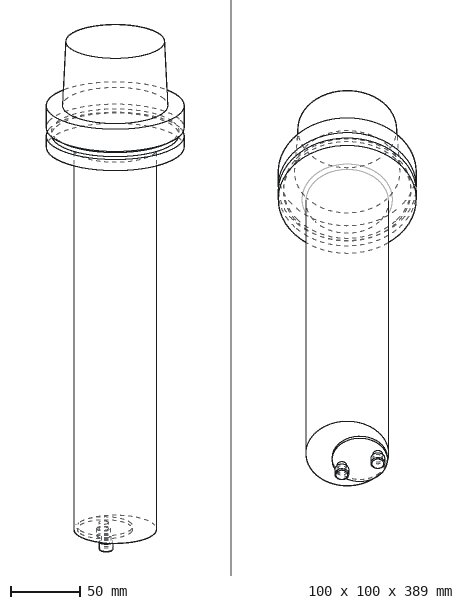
import cadquery as cq
import math

total_height = 389.0

shank_length = 49.5
shank_top_diameter = 71.5
shank_base_diameter = 76.2

flange_diameter = 100.0
flange_thickness = 32.0
groove_diameter = 92.0
upper_rim_thickness = 17.0
lower_rim_thickness = 8.5
groove_upper_wall_height = 2.5
groove_floor_width = 3.0

body_diameter = 60.0
neck_fillet = 2.7

disc_diameter = 40.0
disc_thickness = 2.5
pin_stem_diameter = 7.0
pin_stem_length = 4.5
pin_head_diameter = 10.0
pin_head_height = 6.2
pin_head_chamfer = 0.8
pin_circle_diameter = 28.0
first_pin_angle = 135

flange_top = total_height - shank_length
flange_bottom = flange_top - flange_thickness
disc_bottom = pin_head_height + pin_stem_length
body_bottom = disc_bottom + disc_thickness

disc_center_x = -(body_diameter - disc_diameter) / 2


def make_turned_body():
    """Shank, grooved flange and body, revolved about Z."""
    body_radius = body_diameter / 2
    flange_radius = flange_diameter / 2
    groove_radius = groove_diameter / 2
    groove_top = flange_top - upper_rim_thickness
    groove_bottom = flange_bottom + lower_rim_thickness
    floor_top = groove_top - groove_upper_wall_height
    floor_bottom = floor_top - groove_floor_width
    fillet_middle = neck_fillet * (1 - math.sqrt(0.5))
    profile = (
        cq.Workplane("XZ")
        .moveTo(0, body_bottom)
        .lineTo(body_radius, body_bottom)
        .lineTo(body_radius, flange_bottom - neck_fillet)
        .threePointArc(
            (body_radius + fillet_middle, flange_bottom - fillet_middle),
            (body_radius + neck_fillet, flange_bottom),
        )
        .lineTo(flange_radius, flange_bottom)
        .lineTo(flange_radius, groove_bottom)
        .lineTo(groove_radius, floor_bottom)
        .lineTo(groove_radius, floor_top)
        .lineTo(flange_radius, groove_top)
        .lineTo(flange_radius, flange_top)
        .lineTo(shank_base_diameter / 2, flange_top)
        .lineTo(shank_top_diameter / 2, total_height)
        .lineTo(0, total_height)
        .close()
    )
    return profile.revolve(360, (0, 0, 0), (0, 1, 0))


def make_disc():
    """Eccentric disc under the body."""
    return (
        cq.Workplane("XY", origin=(disc_center_x, 0, disc_bottom))
        .circle(disc_diameter / 2)
        .extrude(disc_thickness)
    )


def make_pin(x, y):
    """Headed pin hanging from the disc, chamfered at its free end."""
    head = (
        cq.Workplane("XY", origin=(x, y, 0))
        .circle(pin_head_diameter / 2)
        .extrude(pin_head_height)
        .faces("<Z")
        .chamfer(pin_head_chamfer)
    )
    stem = (
        cq.Workplane("XY", origin=(x, y, pin_head_height))
        .circle(pin_stem_diameter / 2)
        .extrude(pin_stem_length)
    )
    return head.union(stem)


result = make_turned_body().union(make_disc())
for pin_angle in (first_pin_angle, first_pin_angle + 180):
    angle = math.radians(pin_angle)
    pin_x = disc_center_x + pin_circle_diameter / 2 * math.cos(angle)
    pin_y = pin_circle_diameter / 2 * math.sin(angle)
    result = result.union(make_pin(pin_x, pin_y))